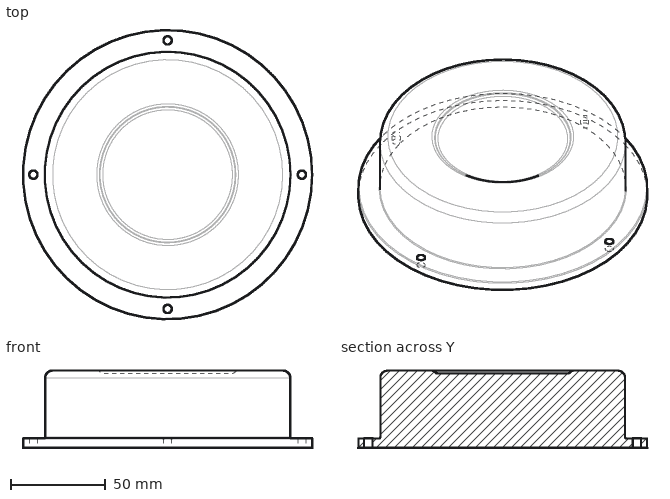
import cadquery as cq
import math

flange_diameter = 152.8
total_height = 41.0
flange_thickness = 5.2
body_diameter = 129.7

body_top_radius = 4.1
flange_edge_radius = 0.5
body_root_radius = 0.5

recess_rim_diameter = 74.9
recess_depth = 1.5
recess_blend_radius = 2.0
recess_wall_angle = 45.0

hole_diameter = 4.3
hole_circle_diameter = 141.8
hole_count = 4


def make_flange():
    """Flat disc with a rounded upper edge."""
    disc = cq.Workplane("XY").circle(flange_diameter / 2).extrude(flange_thickness)
    return disc.faces(">Z").edges().fillet(flange_edge_radius)


def make_body():
    """Round body with a large rounded top edge."""
    drum = cq.Workplane("XY").circle(body_diameter / 2).extrude(total_height)
    return drum.faces(">Z").edges().fillet(body_top_radius)


def join_with_root_fillet(flange, body):
    """Join body and flange, rounding the inner corner between them."""
    joined = flange.union(body)
    margin = body_root_radius / 2
    half_width = body_diameter / 2 + margin
    root_edge = cq.selectors.BoxSelector(
        (-half_width, -half_width, flange_thickness - margin),
        (half_width, half_width, flange_thickness + margin),
        boundingbox=True,
    )
    return joined.edges(root_edge).fillet(body_root_radius)


def make_recess_cutter():
    """Revolved recess with a sloping wall, rounded at the rim and at the floor."""
    slope = math.radians(recess_wall_angle)
    blend_width = recess_blend_radius * math.sin(slope)
    blend_height = recess_blend_radius * (1 - math.cos(slope))
    wall_width = (recess_depth - 2 * blend_height) / math.tan(slope)

    floor = total_height - recess_depth
    rim = recess_rim_diameter / 2
    wall_top = rim - blend_width
    wall_bottom = wall_top - wall_width
    floor_edge = wall_bottom - blend_width

    profile = (
        cq.Workplane("XZ")
        .moveTo(0, floor)
        .lineTo(floor_edge, floor)
        .radiusArc((wall_bottom, floor + blend_height), -recess_blend_radius)
        .lineTo(wall_top, total_height - blend_height)
        .radiusArc((rim, total_height), recess_blend_radius)
        .lineTo(0, total_height)
        .close()
    )
    return profile.revolve(360, (0, 0, 0), (0, 1, 0))


def make_hole_cutters():
    """Evenly spaced cylinders passing through the flange."""
    return (
        cq.Workplane("XY")
        .polarArray(hole_circle_diameter / 2, 0, 360, hole_count)
        .circle(hole_diameter / 2)
        .extrude(flange_thickness)
    )


result = join_with_root_fillet(make_flange(), make_body())
result = result.cut(make_recess_cutter()).cut(make_hole_cutters())